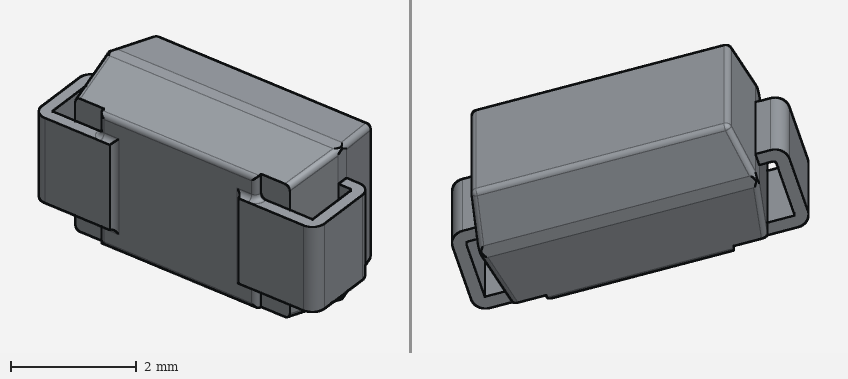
import cadquery as cq
import math

BODY_LENGTH = 4.605
BODY_HEIGHT = 2.92
DRAFT_ANGLE = 10.0
BACK_DEPTH = 1.025
FRONT_DEPTH = 1.15
BELT_WIDTH = 0.225
BODY_ROUND = 0.1

LEAD_SPAN = 5.59
LEAD_THICKNESS = 0.225
LEAD_ROOT_THICKNESS = 0.21
LEAD_WIDTH = 1.63
LEAD_GAP = 2.54
BEND_RADIUS = 0.24
INNER_BEND_RADIUS = 0.05

PAD_LENGTH = 3.11
PAD_RISE = 0.125
PAD_ROUND = 0.095

DRAFT_SLOPE = math.tan(math.radians(DRAFT_ANGLE))
BELT_SPREAD = BELT_WIDTH / 2 * DRAFT_SLOPE
LEAD_BACK = BELT_WIDTH / 2
LEAD_FRONT = -FRONT_DEPTH - LEAD_THICKNESS
PAD_FRONT = -FRONT_DEPTH - PAD_RISE
FLARE = PAD_FRONT - LEAD_FRONT
TIP_X = LEAD_GAP / 2
LEAD_SIDE = LEAD_WIDTH / 2
PAD_ROUND_X = PAD_LENGTH / 2 - PAD_ROUND
PAD_ROUND_Y = PAD_FRONT + PAD_ROUND


def drafted_half(depth):
    """Half body with rounded corners, narrowing from the mid plane towards -Y."""
    return (
        cq.Workplane("XZ")
        .rect(BODY_LENGTH + 2 * BELT_SPREAD, BODY_HEIGHT + 2 * BELT_SPREAD)
        .extrude(depth, taper=DRAFT_ANGLE)
        .edges("not(|X or |Z)")
        .fillet(BODY_ROUND)
    )


def make_body():
    front = drafted_half(FRONT_DEPTH)
    back = drafted_half(BACK_DEPTH).faces("<Y").edges().fillet(BODY_ROUND).mirror("XZ")
    block = cq.Workplane().box(BODY_LENGTH, 2 * (FRONT_DEPTH + BACK_DEPTH), BODY_HEIGHT)
    return front.union(back).intersect(block)


def make_pad():
    """Rounded pad whose long sides carry on the drafted faces of the body."""
    base_half = BODY_HEIGHT / 2 + BELT_SPREAD - FRONT_DEPTH * DRAFT_SLOPE
    face_half = base_half - PAD_RISE * DRAFT_SLOPE
    return (
        cq.Workplane("YZ")
        .moveTo(-FRONT_DEPTH, base_half)
        .lineTo(PAD_FRONT, face_half)
        .lineTo(PAD_FRONT, -face_half)
        .lineTo(-FRONT_DEPTH, -base_half)
        .close()
        .extrude(PAD_LENGTH / 2, both=True)
        .faces("<Y")
        .edges()
        .fillet(PAD_ROUND)
    )


def make_lead():
    """C-shaped lead at the +X end."""
    outer_x = LEAD_SPAN / 2
    inner_x = outer_x - LEAD_THICKNESS
    root_front = LEAD_BACK - LEAD_ROOT_THICKNESS
    root_x = BODY_LENGTH / 2 - BODY_ROUND
    strip = (
        cq.Workplane("XY")
        .moveTo(root_x, LEAD_BACK)
        .lineTo(outer_x, LEAD_BACK)
        .lineTo(outer_x, LEAD_FRONT)
        .lineTo(TIP_X, LEAD_FRONT)
        .lineTo(TIP_X, -FRONT_DEPTH)
        .lineTo(inner_x, -FRONT_DEPTH)
        .lineTo(inner_x, root_front - INNER_BEND_RADIUS)
        .radiusArc((inner_x - INNER_BEND_RADIUS, root_front), -INNER_BEND_RADIUS)
        .lineTo(root_x, root_front)
        .close()
        .extrude(LEAD_SIDE, both=True)
    )
    return strip.edges("|Z and >X").fillet(BEND_RADIUS)


def concave_wedge(plane):
    """Wedge on the plane: local x from the lead face, local y up from the pad face."""
    diagonal = FLARE * (1 - math.sqrt(0.5))
    return (
        cq.Workplane(plane)
        .lineTo(FLARE, 0)
        .threePointArc((diagonal, diagonal), (0, FLARE))
        .close()
    )


def make_side_flare():
    """Concave fillet along the +Z side of the +X lead, carried round the pad edge."""
    start_x = TIP_X - FLARE
    plane = cq.Plane(origin=(start_x, PAD_FRONT, LEAD_SIDE), xDir=(0, 0, 1), normal=(1, 0, 0))
    straight = concave_wedge(plane).extrude(PAD_ROUND_X - start_x)
    miter = (
        cq.Workplane("XZ", origin=(0, PAD_FRONT, 0))
        .moveTo(start_x, LEAD_SIDE + FLARE)
        .lineTo(start_x, LEAD_SIDE)
        .lineTo(TIP_X, LEAD_SIDE)
        .close()
        .extrude(FLARE)
    )
    bend_plane = cq.Plane(
        origin=(PAD_ROUND_X, PAD_FRONT, LEAD_SIDE), xDir=(0, 0, 1), normal=(1, 0, 0)
    )
    bend = concave_wedge(bend_plane).revolve(90, (0, -PAD_ROUND, 0), (1, -PAD_ROUND, 0))
    wall_plane = cq.Plane(
        origin=(PAD_LENGTH / 2, PAD_ROUND_Y, LEAD_SIDE), xDir=(0, 0, 1), normal=(0, 1, 0)
    )
    wall = concave_wedge(wall_plane).extrude(PAD_RISE - PAD_ROUND)
    return straight.cut(miter).union(bend).union(wall)


def make_tip_flare():
    """Concave fillet across the tip of the +X lead, mitred at both ends."""
    plane = cq.Plane(origin=(TIP_X, PAD_FRONT, 0), xDir=(-1, 0, 0), normal=(0, 0, 1))
    wedge = concave_wedge(plane).extrude(LEAD_SIDE + FLARE, both=True)
    miter = (
        cq.Workplane("XZ", origin=(0, PAD_FRONT, 0))
        .moveTo(TIP_X, LEAD_SIDE)
        .lineTo(TIP_X, LEAD_SIDE + FLARE)
        .lineTo(TIP_X - FLARE, LEAD_SIDE + FLARE)
        .close()
        .extrude(FLARE)
    )
    return wedge.cut(miter).cut(miter.mirror("XY"))


side_flare = make_side_flare()
terminal = make_lead().union(make_tip_flare()).union(side_flare).union(side_flare.mirror("XY"))

result = make_body().union(make_pad()).union(terminal).union(terminal.mirror("YZ"))